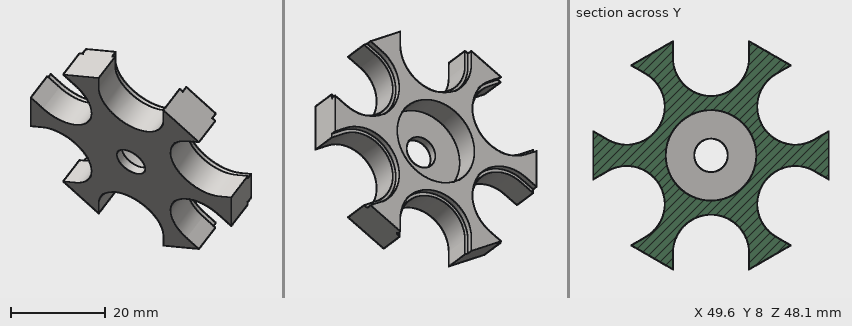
import cadquery as cq

across_flats = 49.65
thickness = 8.0
slot_radius = 8.0
slot_centre_distance = 20.5
step_width = 0.75
step_depth = 1.4
bore_diameter = 7.0
recess_diameter = 19.0
recess_depth = 6.0
slot_count = 6

front_y = -thickness / 2
back_y = thickness / 2
slot_length = across_flats


def disc(diameter, start_y, length):
    """Cylinder on the wheel axis, running toward positive Y."""
    return cq.Workplane("XZ", origin=(0, start_y, 0)).circle(diameter / 2).extrude(-length)


def round_slot(radius, start_y, length):
    """Round-bottomed slot, open toward positive Z."""
    return (
        cq.Workplane("XZ", origin=(0, start_y, 0))
        .moveTo(-radius, slot_length)
        .lineTo(-radius, slot_centre_distance)
        .threePointArc((0, slot_centre_distance - radius), (radius, slot_centre_distance))
        .lineTo(radius, slot_length)
        .close()
        .extrude(-length)
    )


plate = (
    cq.Workplane("XZ", origin=(0, front_y, 0))
    .polygon(slot_count, across_flats, circumscribed=True)
    .extrude(-thickness)
)

stepped_slot = round_slot(slot_radius, front_y, thickness).union(
    round_slot(slot_radius + step_width, back_y - step_depth, step_depth)
)
result = plate
for index in range(slot_count):
    result = result.cut(stepped_slot.rotate((0, 0, 0), (0, 1, 0), index * 360 / slot_count))

result = result.cut(disc(bore_diameter, front_y, thickness))
result = result.cut(disc(recess_diameter, back_y - recess_depth, recess_depth))